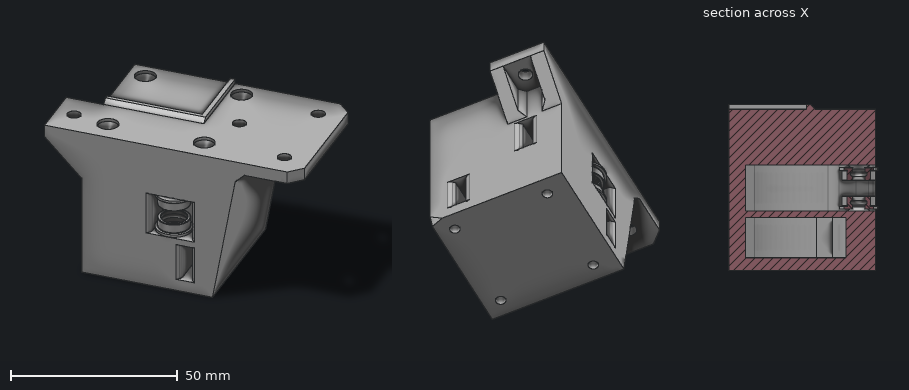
import cadquery as cq
import math


length = 82.1
depth = 44.1
height = 48.4
plate_thickness = 4.0
plate_corner_chamfer = 4.0
block_left = 12.0
block_right_bottom = 54.0
slope_top_x = 61.3
slope_top_drop = 7.0
wing_depth = 18.1

rim_height = 1.5
rim_right = 44.25
rim_width = 1.6
rim_front = wing_depth
rim_crest = rim_front + rim_height
rim_inside = 20.8

mount_hole = 4.3
plate_hole_x = 74.1
plate_hole_ys = (8.05, 36.05)
wing_hole = (6.0, 9.1)
blind_hole = (54.1, 22.2)
blind_hole_depth = 12.3

motor_center = (33.0, 23.0)
motor_spacing = 30.95
motor_screw = 3.1
screw_head = 6.6
head_recess = 1.0

slot_width = 5.1
slot_flare = 2.0

corner_cut = (1.65, 4.1, 2.8)

channel_width = 3.3
lip_radius = 2.0
lip_chamfer = 0.7
front_channel_right = 47.0
upper_channel_back = 13.6
lower_channel_back = 36.05
upper_channel_z = (-29.7, -17.0)
lower_z = (-44.5, -32.5)
pocket_z = (-30.5, -16.75)
pocket_left = 34.0
pocket_corner_radius = 7.7

chamber_center = (33.3, 23.5)
chamber_radius = 14.8
chamber_left = 36.2
chamber_flat_angle = 60.0
nose_radius = 2.6

bearing_outer = 10.0
bearing_height = 3.95
flange_diameter = 11.5
flange_thickness = 0.8
relief_diameter = 9.85
relief_width = 0.25
bearing_bore = 7.9
race_diameter = 8.6
race_lip = 1.3
rim_chamfer = 0.2
bearing_center = (39.75, flange_diameter / 2 - 0.65)
bearings_z = (-30.0, -17.5)

seat_base = 6.6
seat_tip = 4.3

SIN_45 = math.sqrt(0.5)
MID_LIP_ANGLE = math.pi / 8
overshoot = 0.8


def slab(outline, z_range):
    """Extrude a closed XY outline between two heights."""
    bottom, top = z_range
    return outline.extrude(top - bottom).translate((0, 0, bottom))


def block_with_plate():
    """Front profile run through the depth, less the corner behind the wing."""
    foot = slope_top_x + slope_top_drop - plate_thickness
    profile = [
        (0, 0),
        (length, 0),
        (length, -plate_thickness),
        (foot, -plate_thickness),
        (slope_top_x, -slope_top_drop),
        (block_right_bottom, -height),
        (block_left, -height),
        (block_left, -plate_thickness - block_left),
        (0, -plate_thickness),
    ]
    body = cq.Workplane("XZ").polyline(profile).close().extrude(-depth)
    behind_wing = cq.Workplane("XY").box(block_left, depth - wing_depth, height, centered=False)
    body = body.cut(behind_wing.translate((0, wing_depth, -height)))
    return body.edges("|Z and >X").chamfer(plate_corner_chamfer)


def rim():
    """L-shaped rim whose front leg has a 45 degree front slope."""
    section = [
        (rim_front, 0),
        (rim_crest, rim_height),
        (depth, rim_height),
        (depth, 0),
    ]
    raised = cq.Workplane("YZ").polyline(section).close().extrude(rim_right - block_left)
    inside = cq.Workplane("XY").box(
        rim_right - rim_width - block_left, depth - rim_inside, rim_height, centered=False
    )
    return raised.cut(inside.translate((0, rim_inside, 0))).translate((block_left, 0, 0))


def mount_holes():
    through = [(plate_hole_x, y) for y in plate_hole_ys] + [wing_hole]
    holes = cq.Workplane("XY").pushPoints(through).circle(mount_hole / 2).extrude(-height)
    blind = cq.Workplane("XY").center(*blind_hole).circle(mount_hole / 2).extrude(-blind_hole_depth)
    return holes.union(blind)


def motor_screw_holes():
    cone_end = head_recess + (screw_head - motor_screw) / 2
    section = [
        (0, rim_height),
        (screw_head / 2, rim_height),
        (screw_head / 2, -head_recess),
        (motor_screw / 2, -cone_end),
        (motor_screw / 2, -height),
        (0, -height),
    ]
    hole = cq.Workplane("XZ").polyline(section).close().revolve(360, (0, 0), (0, 1)).val()
    spots = cq.Workplane("XY").center(*motor_center).rarray(motor_spacing, motor_spacing, 2, 2)
    return spots.eachpoint(lambda place: hole.moved(place))


def wing_slot():
    """Slot under the wing, widened by 45 degrees away from the block."""
    narrow = slot_width / 2
    wide = narrow + slot_flare
    half = [(block_left, narrow), (block_left - slot_flare, wide), (-overshoot, wide)]
    other_half = [(x, -y) for x, y in reversed(half)]
    outline = cq.Workplane("XY").polyline(half + other_half).close()
    return slab(outline, (-height, -plate_thickness)).translate((0, wing_hole[1], 0))


def back_corner_cut():
    """Tetrahedron at the lower back corner below the left face."""
    reach_x, reach_y, reach_z = corner_cut
    corner = cq.Vector(block_left, depth, -height)
    tips = [
        corner + cq.Vector(reach_x, 0, 0),
        corner + cq.Vector(0, -reach_y, 0),
        corner + cq.Vector(0, 0, reach_z),
    ]
    triangles = [
        tips,
        [corner, tips[0], tips[1]],
        [corner, tips[1], tips[2]],
        [corner, tips[2], tips[0]],
    ]
    faces = [cq.Face.makeFromWires(cq.Wire.makePolygon(t, close=True)) for t in triangles]
    return cq.Workplane(cq.Solid.makeSolid(cq.Shell.makeShell(faces)))


def left_channel(back, end, z_range):
    """Belt channel from the left face; its back lip ends in a 45 degree flat."""
    front = back - channel_width
    arc_side = lip_radius * SIN_45
    arc_rise = lip_radius - arc_side
    flat_x = block_left + arc_rise
    lip_x = flat_x + lip_chamfer
    flat_y = back + lip_chamfer
    half_arc_middle = (
        block_left + lip_radius * (1 - math.cos(MID_LIP_ANGLE)),
        flat_y + arc_side - lip_radius * math.sin(MID_LIP_ANGLE),
    )
    outline = (
        cq.Workplane("XY")
        .moveTo(block_left, front - lip_radius)
        .threePointArc((block_left + arc_rise, front - arc_rise), (block_left + lip_radius, front))
        .lineTo(end, front)
        .lineTo(end, back)
        .lineTo(lip_x, back)
        .lineTo(flat_x, flat_y)
        .threePointArc(half_arc_middle, (block_left, flat_y + arc_side))
        .close()
    )
    return slab(outline, z_range)


def front_opening(left, right, back, z_range):
    """Opening in the front face; its lips are 45 degree flats rounded into the walls."""
    arc_side = lip_radius * SIN_45
    arc_rise = lip_radius - arc_side
    wall_start = lip_chamfer + arc_side
    middle_y = wall_start - lip_radius * math.sin(MID_LIP_ANGLE)
    middle_rise = lip_radius * (1 - math.cos(MID_LIP_ANGLE))
    outline = (
        cq.Workplane("XY")
        .moveTo(left - arc_rise - lip_chamfer, 0)
        .lineTo(left - arc_rise, lip_chamfer)
        .threePointArc((left - middle_rise, middle_y), (left, wall_start))
        .lineTo(left, back)
        .lineTo(right, back)
        .lineTo(right, wall_start)
        .threePointArc((right + middle_rise, middle_y), (right + arc_rise, lip_chamfer))
        .lineTo(right + arc_rise + lip_chamfer, 0)
        .close()
    )
    return slab(outline, z_range)


def chamber(z_range):
    """Right part of a round chamber with a flat wall tangent to its back."""
    center_x, center_y = chamber_center
    angle = math.radians(chamber_flat_angle)
    flat_x = center_x + chamber_radius * math.cos(angle)
    flat_y = center_y + chamber_radius * math.sin(angle)
    left_front = center_y - math.sqrt(chamber_radius**2 - (chamber_left - center_x) ** 2)
    outline = (
        cq.Workplane("XY")
        .moveTo(chamber_left, left_front)
        .threePointArc((center_x + chamber_radius, center_y), (flat_x, flat_y))
        .lineTo(chamber_left, flat_y + (flat_x - chamber_left) / math.tan(angle))
        .close()
    )
    return slab(outline, z_range)


def lower_belt_path():
    front = front_opening(
        front_channel_right - channel_width, front_channel_right, chamber_center[1], lower_z
    )
    left = left_channel(lower_channel_back, chamber_left + overshoot, lower_z)
    return front.union(left).union(chamber(lower_z))


def bearing_seat(wall_z, direction):
    """Cone on the pocket floor or ceiling, narrowing toward the bearing."""
    rise = (seat_base - seat_tip) / 2
    base = cq.Vector(*bearing_center, wall_z)
    return cq.Workplane(
        cq.Solid.makeCone(seat_base / 2, seat_tip / 2, rise, base, cq.Vector(0, 0, direction))
    )


def bearing_pocket():
    """Front pocket with its right back corner rounded around the belt's turn."""
    pocket = front_opening(pocket_left, front_channel_right, upper_channel_back, pocket_z)
    return pocket.edges("|Z and >(1,1,0)").fillet(pocket_corner_radius)


def nose_edge():
    """Box around the upright edge where the pocket arc meets the round chamber."""
    floor, ceiling = pocket_z
    return cq.selectors.BoxSelector(
        (front_channel_right - pocket_corner_radius, upper_channel_back - pocket_corner_radius, floor),
        (front_channel_right, upper_channel_back, ceiling),
    )


def upper_belt_path():
    left = left_channel(upper_channel_back, pocket_left + overshoot, upper_channel_z)
    path = bearing_pocket().union(chamber(pocket_z))
    path = path.edges("|Z").edges(nose_edge()).fillet(nose_radius).union(left)
    floor, ceiling = pocket_z
    return path.cut(bearing_seat(floor, 1)).cut(bearing_seat(ceiling, -1))


def make_housing():
    body = block_with_plate().union(rim())
    cutters = [
        mount_holes(),
        motor_screw_holes(),
        wing_slot(),
        back_corner_cut(),
        lower_belt_path(),
        upper_belt_path(),
    ]
    for cutter in cutters:
        body = body.cut(cutter)
    return body


def make_bearing():
    """Flanged bearing ring standing on its flange at the origin."""
    relief_top = flange_thickness + relief_width
    section = [
        (bearing_bore / 2, 0),
        (flange_diameter / 2, 0),
        (flange_diameter / 2, flange_thickness),
        (relief_diameter / 2, flange_thickness),
        (relief_diameter / 2, relief_top),
        (bearing_outer / 2, relief_top),
        (bearing_outer / 2, bearing_height - rim_chamfer),
        (bearing_outer / 2 - rim_chamfer, bearing_height),
        (bearing_bore / 2 + rim_chamfer, bearing_height),
        (bearing_bore / 2, bearing_height - rim_chamfer),
        (bearing_bore / 2, bearing_height - race_lip),
    ]
    return (
        cq.Workplane("XZ")
        .polyline(section)
        .threePointArc((race_diameter / 2, bearing_height / 2), (bearing_bore / 2, race_lip))
        .close()
        .revolve(360, (0, 0), (0, 1))
    )


def make_bearings():
    """Two bearings on one axis with their flanges facing outward."""
    bearings = []
    for z, flip in zip(bearings_z, (0, 180)):
        ring = make_bearing().rotate((0, 0, 0), (1, 0, 0), flip)
        bearings.append(ring.translate((*bearing_center, z)).val())
    return bearings


housing = make_housing()
bearings = make_bearings()
result = cq.Compound.makeCompound([housing.val(), *bearings])